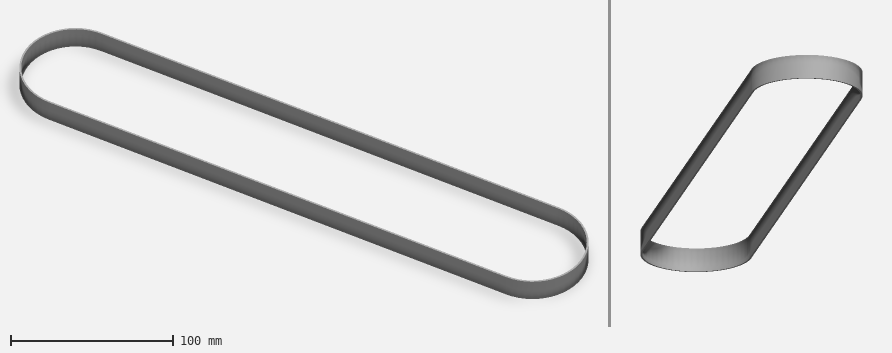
import cadquery as cq

overall_length = 389.56
overall_width = 69.17
belt_height = 15.0
belt_thickness = 1.15

pulley_spacing = overall_length - overall_width


def stadium(width):
    """Solid with two straight sides and semicircular ends centred on the pulleys."""
    return (
        cq.Workplane("XY")
        .slot2D(pulley_spacing + width, width)
        .extrude(belt_height)
    )


inner_width = overall_width - 2 * belt_thickness
result = stadium(overall_width).cut(stadium(inner_width))